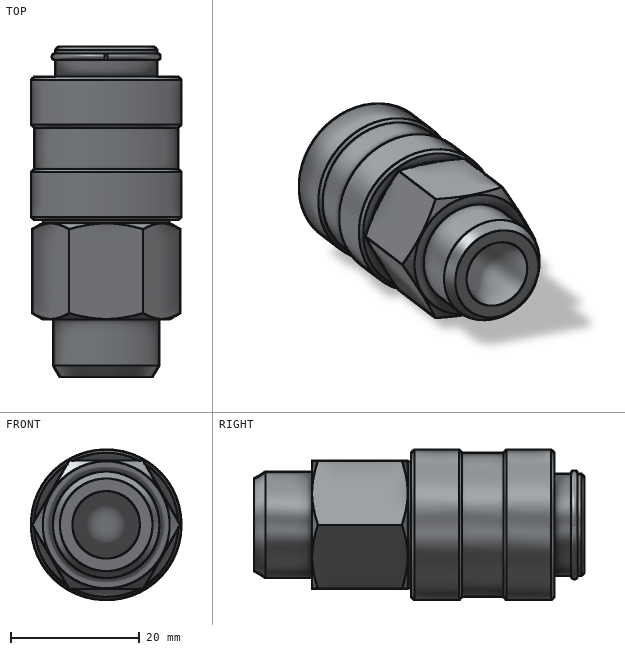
import cadquery as cq
import math

LENGTH = 51.5

STUB_RADIUS = 8.3
STUB_TIP_RADIUS = 7.2
STUB_CHAMFER_LENGTH = 1.8
BORE_RADIUS = 5.25
BORE_DEPTH = 20.6

HEX_START = 9.0
HEX_END = 24.0
HEX_FLATS = 20.0
HEX_CORNER_DIAMETER = HEX_FLATS / math.cos(math.radians(30))
HEX_FACE_RADIUS = 9.9
HEX_CHAMFER_ANGLE = 30.0
HEX_CHAMFER_LENGTH = (HEX_CORNER_DIAMETER / 2 - HEX_FACE_RADIUS) * math.tan(
    math.radians(HEX_CHAMFER_ANGLE)
)

COLLAR_RADIUS = 11.75
COLLAR_LENGTH = 8.0
CHAMFER = 0.5
WAIST_RADIUS = COLLAR_RADIUS - CHAMFER
SLEEVE_START = 24.45
SLEEVE_END = 46.8

PLUG_RADIUS = 8.0
WIRE_RADIUS = 0.5
RING_CENTER = 49.9
RING_GAP = 0.45


def cylinder(start, end, radius):
    """Solid cylinder on the Y axis between two Y positions."""
    return cq.Workplane("XZ", origin=(0, start, 0)).circle(radius).extrude(start - end)


def make_hex():
    """Hexagon with flats facing +Z and -Z and conically chamfered corners."""
    prism = (
        cq.Workplane("XZ", origin=(0, HEX_START, 0))
        .polygon(6, HEX_CORNER_DIAMETER)
        .extrude(HEX_START - HEX_END)
    )
    corner_radius = HEX_CORNER_DIAMETER / 2
    envelope = (
        cq.Workplane("XY")
        .moveTo(0, HEX_START)
        .lineTo(HEX_FACE_RADIUS, HEX_START)
        .lineTo(corner_radius, HEX_START + HEX_CHAMFER_LENGTH)
        .lineTo(corner_radius, HEX_END - HEX_CHAMFER_LENGTH)
        .lineTo(HEX_FACE_RADIUS, HEX_END)
        .lineTo(0, HEX_END)
        .close()
        .revolve(360, (0, 0, 0), (0, 1, 0))
    )
    return prism.intersect(envelope)


def make_collar(start):
    """Sleeve collar chamfered at both ends."""
    return cylinder(start, start + COLLAR_LENGTH, COLLAR_RADIUS).edges("%CIRCLE").chamfer(CHAMFER)


def make_stub():
    """Threaded stub with a long lead-in chamfer."""
    return (
        cylinder(0, HEX_START, STUB_RADIUS)
        .faces("<Y")
        .chamfer(STUB_CHAMFER_LENGTH, STUB_RADIUS - STUB_TIP_RADIUS)
    )


def make_ring_torus():
    """Full torus of the snap-ring wire, also used to cut its groove."""
    return (
        cq.Workplane("XY")
        .center(PLUG_RADIUS, RING_CENTER)
        .circle(WIRE_RADIUS)
        .revolve(360, (-PLUG_RADIUS, 0, 0), (-PLUG_RADIUS, 1, 0))
    )


def make_body():
    """Coupling body: stub, hexagon, neck, sleeve and grooved plug in one piece."""
    body = make_stub().union(make_hex())
    body = body.union(cylinder(HEX_END, SLEEVE_START, HEX_FACE_RADIUS))
    body = body.union(cylinder(SLEEVE_START + CHAMFER, SLEEVE_END - CHAMFER, WAIST_RADIUS))
    for collar_start in (SLEEVE_START, SLEEVE_END - COLLAR_LENGTH):
        body = body.union(make_collar(collar_start))
    plug = cylinder(SLEEVE_END, LENGTH, PLUG_RADIUS).faces(">Y").chamfer(CHAMFER)
    body = body.union(plug)
    body = body.cut(cylinder(0, BORE_DEPTH, BORE_RADIUS))
    return body.cut(make_ring_torus())


def make_snap_ring():
    """Round-wire snap ring, split by a narrow gap on the +Z side."""
    gap_height = 2 * PLUG_RADIUS
    gap = cq.Workplane("XY").box(RING_GAP, 4 * WIRE_RADIUS, gap_height)
    return make_ring_torus().cut(gap.translate((0, RING_CENTER, gap_height / 2)))


body = make_body()
snap_ring = make_snap_ring()
result = cq.Compound.makeCompound([body.val(), snap_ring.val()])